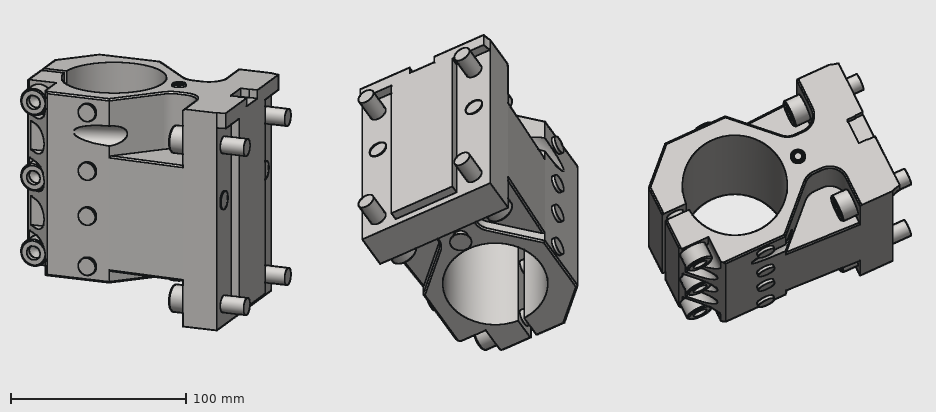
import cadquery as cq
import math

BODY_HEIGHT = 110.0
BORE_RADIUS = 30.0
NOSE_X = -45.0
BODY_HALF_WIDTH = 40.0
CORNER_CUT = 20.0
SLIT_WIDTH = 4.0
EDGE_CHAMFER = 1.0

PLATE_FRONT_X = 59.2
PLATE_BACK_X = 80.0
PLATE_HALF_WIDTH = 42.0
PLATE_HEIGHT = 130.0
PLATE_OVERLAP_Z = -5.0

POCKET_START_X = 13.0
NECK_HALF_WIDTH = 13.0
POCKET_RADIUS = 10.0

WEB_TOP_Z = -34.0
WEB_BOTTOM_Z = -103.0

TONGUE_DEPTH = 5.0
TONGUE_X = PLATE_BACK_X + TONGUE_DEPTH
TONGUE_HEAD_HEIGHT = 9.1
TONGUE_HEAD_BACK_HALF_WIDTH = 40.6
TONGUE_HEAD_BULGE = 0.2
TONGUE_STEM_WIDTH = 40.0
TONGUE_LENGTH = 125.0
KEY_SLOT_FRONT_X = 74.8
KEY_SLOT_DEPTH = 5.0
KEY_SLOT_PLATE_WIDTH = 15.6
KEY_SLOT_TONGUE_WIDTH = 16.2

SCREW_RADIUS = 5.0
HEAD_RADIUS = 8.0
HEAD_LENGTH = 10.0
HEAD_CHAMFER = 0.8
SOCKET_RADIUS = 4.1
SOCKET_DEPTH = 4.0
SOCKET_CONE_DEPTH = 2.0

CLAMP_X = -37.0
CLAMP_SEAT_Y = -21.5
CLAMP_END_Y = 20.0
CLAMP_SPACING = 45.0
CLAMP_MIDDLE_Z = -BODY_HEIGHT / 2
CLAMP_ZS = [CLAMP_MIDDLE_Z + CLAMP_SPACING * step for step in (-1, 0, 1)]
END_RECESS_RADIUS = 10.0
MIDDLE_RECESS_RADIUS = 8.6
RELIEF_SEAT_Y = -22.8
RELIEF_ZS = [CLAMP_MIDDLE_Z + CLAMP_SPACING * step for step in (-0.5, 0.5)]

PLATE_SCREW_Y = 31.5
PLATE_SCREW_ZS = (-22.0, -117.0)
PLATE_SCREW_END_X = 94.3
WRENCH_GROOVE_RADIUS = 6.0
WRENCH_GROOVE_ANGLE = 15.0
WRENCH_GROOVE_X = 14.3
WRENCH_GROOVE_REACH = 35.0

PLUG_RADIUS = 5.2
PLUG_ZS = (-9.1, -44.1, -71.0, -101.0)
PAD_RADIUS = 5.4
PAD_HEIGHT = 0.6

COOLANT_X = 40.0
COOLANT_RADIUS = 4.2
COOLANT_PLUG_HEIGHT = 1.0
COOLANT_PLUG_TOP_RADIUS = 3.7
COOLANT_DIMPLE_RADIUS = 2.9
COOLANT_DIMPLE_FLOOR_RADIUS = 2.3
COOLANT_DIMPLE_DEPTH = 0.6
NOZZLE_COLLAR_HEIGHT = 1.3
NOZZLE_THROAT_LENGTH = 0.5
NOZZLE_THROAT_RADIUS = 3.1
NOZZLE_LIP_RADIUS = 6.2
NOZZLE_LENGTH = 5.0


def box(x0, x1, y0, y1, z0, z1):
    """Box between two opposite corners."""
    return cq.Workplane("XY").box(x1 - x0, y1 - y0, z1 - z0, centered=False).translate((x0, y0, z0))


def mirrored_pair(shape):
    """The shape together with its mirror image across the XZ plane."""
    return shape.union(shape.mirror("XZ"))


def rod(start, direction, radius, length):
    return cq.Workplane(cq.Solid.makeCylinder(radius, length, cq.Vector(*start), cq.Vector(*direction)))


def socket_screw(length):
    """Screw along +Z with the underside of its head at Z = 0 and the head below it."""
    socket_bottom = SOCKET_DEPTH - HEAD_LENGTH
    half_profile = (
        cq.Workplane("XZ")
        .moveTo(0, socket_bottom + SOCKET_CONE_DEPTH)
        .lineTo(SOCKET_RADIUS, socket_bottom)
        .lineTo(SOCKET_RADIUS, -HEAD_LENGTH)
        .lineTo(HEAD_RADIUS - HEAD_CHAMFER, -HEAD_LENGTH)
        .lineTo(HEAD_RADIUS, HEAD_CHAMFER - HEAD_LENGTH)
        .lineTo(HEAD_RADIUS, 0)
        .lineTo(SCREW_RADIUS, 0)
        .lineTo(SCREW_RADIUS, length)
        .lineTo(0, length)
        .close()
    )
    return half_profile.revolve(360, (0, 0, 0), (0, 1, 0))


def is_chamfered(edge):
    """True for every rim edge except those of the plate and of the corner cut holding the clamp screws."""
    center = edge.Center()
    on_plate = center.x > PLATE_FRONT_X + EDGE_CHAMFER
    on_screw_corner = center.y < 0 and NOSE_X + EDGE_CHAMFER < center.x < NOSE_X + CORNER_CUT
    return not (on_plate or on_screw_corner)


def body_block():
    """Outline of body, neck and plate, with its top and bottom edges chamfered."""
    half_outline = (
        cq.Workplane("XY")
        .moveTo(NOSE_X, 0)
        .lineTo(NOSE_X, BODY_HALF_WIDTH - CORNER_CUT)
        .lineTo(NOSE_X + CORNER_CUT, BODY_HALF_WIDTH)
        .lineTo(POCKET_START_X, BODY_HALF_WIDTH)
        .lineTo(POCKET_START_X + BODY_HALF_WIDTH - NECK_HALF_WIDTH, NECK_HALF_WIDTH)
        .lineTo(PLATE_FRONT_X, NECK_HALF_WIDTH)
        .lineTo(PLATE_FRONT_X, PLATE_HALF_WIDTH)
        .lineTo(PLATE_BACK_X, PLATE_HALF_WIDTH)
        .lineTo(PLATE_BACK_X, 0)
        .close()
    )
    half = half_outline.extrude(-BODY_HEIGHT)
    inside_pocket = cq.selectors.BoxSelector(
        (POCKET_START_X + EDGE_CHAMFER, 0, -BODY_HEIGHT),
        (PLATE_FRONT_X + EDGE_CHAMFER, NECK_HALF_WIDTH + EDGE_CHAMFER, 0),
    )
    half = half.edges("|Z").edges(inside_pocket).fillet(POCKET_RADIUS)
    block = mirrored_pair(half).clean()
    rim = block.faces("|Z").edges()
    chamfered = rim.newObject([edge for edge in rim.vals() if is_chamfered(edge)])
    return chamfered.chamfer(EDGE_CHAMFER)


def plate():
    """Plate running down past the body; its top stays below the chamfered rim of the body block."""
    half_width = PLATE_HALF_WIDTH
    return box(PLATE_FRONT_X, PLATE_BACK_X, -half_width, half_width, -PLATE_HEIGHT, PLATE_OVERLAP_Z)


def web():
    """Web on the -Y side, widening from the body side face to the plate side face."""
    full = (
        cq.Workplane("XY", origin=(0, 0, WEB_BOTTOM_Z))
        .moveTo(POCKET_START_X, -BODY_HALF_WIDTH)
        .lineTo(PLATE_FRONT_X, -PLATE_HALF_WIDTH)
        .lineTo(PLATE_FRONT_X, 0)
        .lineTo(POCKET_START_X + BODY_HALF_WIDTH, 0)
        .close()
        .extrude(WEB_TOP_Z - WEB_BOTTOM_Z)
    )
    return full.faces("|Z").edges("<Y").chamfer(EDGE_CHAMFER)


def tongue():
    head = (
        cq.Workplane("XY")
        .moveTo(PLATE_BACK_X, -PLATE_HALF_WIDTH)
        .sagittaArc((TONGUE_X, -TONGUE_HEAD_BACK_HALF_WIDTH), TONGUE_HEAD_BULGE)
        .lineTo(TONGUE_X, TONGUE_HEAD_BACK_HALF_WIDTH)
        .sagittaArc((PLATE_BACK_X, PLATE_HALF_WIDTH), TONGUE_HEAD_BULGE)
        .close()
        .extrude(-TONGUE_HEAD_HEIGHT)
    )
    half_stem = TONGUE_STEM_WIDTH / 2
    return head.union(box(PLATE_BACK_X, TONGUE_X, -half_stem, half_stem, -TONGUE_LENGTH, 0))


def key_slot():
    in_plate = KEY_SLOT_PLATE_WIDTH / 2
    in_tongue = KEY_SLOT_TONGUE_WIDTH / 2
    slot = box(KEY_SLOT_FRONT_X, TONGUE_X, -in_plate, in_plate, -KEY_SLOT_DEPTH, 0)
    return slot.union(box(PLATE_BACK_X, TONGUE_X, -in_tongue, in_tongue, -KEY_SLOT_DEPTH, 0))


def recess(z, radius, seat_y):
    """Round-ended recess cut along Y and open towards -X."""
    pocket = rod((CLAMP_X, seat_y, z), (0, -1, 0), radius, BODY_HALF_WIDTH + seat_y)
    return pocket.union(box(NOSE_X, CLAMP_X, -BODY_HALF_WIDTH, seat_y, z - radius, z + radius))


def end_recess(z, end_z):
    """Recess that also runs out through the body end face at end_z."""
    low, high = sorted((z, end_z))
    opening = box(NOSE_X, CLAMP_X + END_RECESS_RADIUS, -BODY_HALF_WIDTH, CLAMP_SEAT_Y, low, high)
    return recess(z, END_RECESS_RADIUS, CLAMP_SEAT_Y).union(opening)


def clamp_recesses():
    bottom_z, middle_z, top_z = CLAMP_ZS
    cuts = end_recess(bottom_z, -BODY_HEIGHT).union(end_recess(top_z, 0))
    cuts = cuts.union(recess(middle_z, MIDDLE_RECESS_RADIUS, CLAMP_SEAT_Y))
    for z in RELIEF_ZS:
        cuts = cuts.union(recess(z, MIDDLE_RECESS_RADIUS, RELIEF_SEAT_Y))
    return cuts


def wrench_groove():
    """Slanted groove on the -Y side giving a wrench access to the upper plate screw."""
    angle = math.radians(WRENCH_GROOVE_ANGLE)
    along = (math.cos(angle), math.sin(angle), 0)
    start = (
        WRENCH_GROOVE_X - WRENCH_GROOVE_REACH * along[0],
        -BODY_HALF_WIDTH - WRENCH_GROOVE_REACH * along[1],
        PLATE_SCREW_ZS[0],
    )
    return rod(start, along, WRENCH_GROOVE_RADIUS, 2 * WRENCH_GROOVE_REACH)


def clamp_screws():
    screw = socket_screw(CLAMP_END_Y - CLAMP_SEAT_Y).rotate((0, 0, 0), (1, 0, 0), -90)
    for z in CLAMP_ZS:
        yield screw.translate((CLAMP_X, CLAMP_SEAT_Y, z))


def plate_screws():
    screw = socket_screw(PLATE_SCREW_END_X - PLATE_FRONT_X).rotate((0, 0, 0), (0, 1, 0), 90)
    for z in PLATE_SCREW_ZS:
        yield mirrored_pair(screw.translate((PLATE_FRONT_X, -PLATE_SCREW_Y, z)))


def side_plugs():
    root_y = (BORE_RADIUS + BODY_HALF_WIDTH) / 2
    for z in PLUG_ZS:
        yield mirrored_pair(rod((0, -root_y, z), (0, -1, 0), PLUG_RADIUS, PLATE_HALF_WIDTH - root_y))


def back_pads():
    start = (PLATE_BACK_X, -PLATE_SCREW_Y, CLAMP_MIDDLE_Z)
    return mirrored_pair(rod(start, (1, 0, 0), PAD_RADIUS, PAD_HEIGHT))


def coolant_fitting():
    """Plug with a dimple above the body and a flared nozzle below it, turned about one axis."""
    collar_end_z = -BODY_HEIGHT - NOZZLE_COLLAR_HEIGHT
    lip_z = -BODY_HEIGHT - NOZZLE_LENGTH
    half_profile = (
        cq.Workplane("XZ")
        .moveTo(0, COOLANT_PLUG_HEIGHT - COOLANT_DIMPLE_DEPTH)
        .lineTo(COOLANT_DIMPLE_FLOOR_RADIUS, COOLANT_PLUG_HEIGHT - COOLANT_DIMPLE_DEPTH)
        .lineTo(COOLANT_DIMPLE_RADIUS, COOLANT_PLUG_HEIGHT)
        .lineTo(COOLANT_PLUG_TOP_RADIUS, COOLANT_PLUG_HEIGHT)
        .lineTo(COOLANT_RADIUS, 0)
        .lineTo(COOLANT_RADIUS, -BODY_HEIGHT)
        .lineTo(NOZZLE_THROAT_RADIUS, collar_end_z)
        .lineTo(NOZZLE_THROAT_RADIUS, collar_end_z - NOZZLE_THROAT_LENGTH)
        .lineTo(NOZZLE_LIP_RADIUS, lip_z)
        .lineTo(0, lip_z)
        .close()
    )
    return half_profile.revolve(360, (0, 0, 0), (0, 1, 0)).translate((COOLANT_X, 0, 0))


def bore_and_slit():
    bore = rod((0, 0, 0), (0, 0, -1), BORE_RADIUS, BODY_HEIGHT)
    return bore.union(box(NOSE_X, 0, -SLIT_WIDTH / 2, SLIT_WIDTH / 2, -BODY_HEIGHT, 0))


result = body_block().union(plate()).union(mirrored_pair(web())).union(tongue())
for cutter in (bore_and_slit(), key_slot(), clamp_recesses(), mirrored_pair(wrench_groove())):
    result = result.cut(cutter)
for fitting in (*clamp_screws(), *plate_screws(), *side_plugs(), back_pads(), coolant_fitting()):
    result = result.union(fitting)